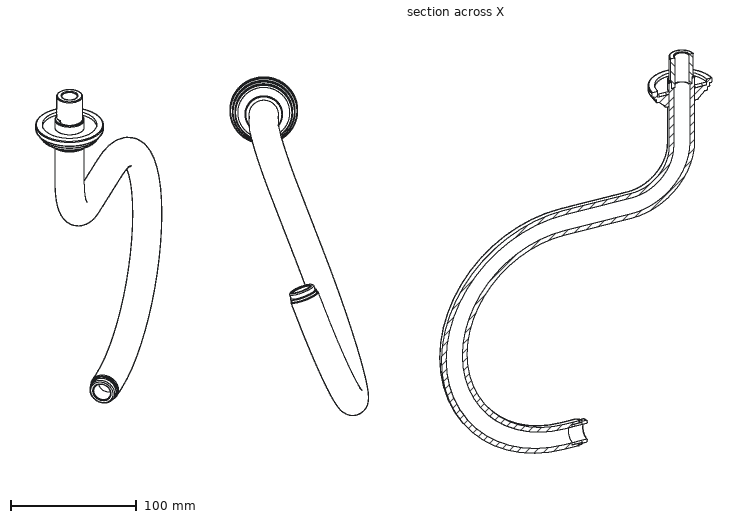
import cadquery as cq

tube_radius = 11.7
bore_radius = 7.0
small_bend_radius = 45.0
horizontal_run = 60
hook_radius = 98.0
outlet_run = 13.5
inlet_top = 104.5
tube_end_chamfer = 0.5

nipple_radius = 10.5
nipple_bore_radius = 6.0
nipple_chamfer = 0.7
nipple_length = 21.5
nipple_flat_distance = 8.7
nipple_flat_height = 2.0
nipple_flat_angle = 212
plug_radius = 9.0
plug_depth = 6.0

flange_top = 99.0
flange_radius = 27.0
flange_edge_height = 4.7
step_width = 2.0
step_height = 3.0
step_count = 2
cone_top_radius = 20.7
cone_bottom_radius = 15.0
cone_height = 5.5
cone_lip_height = 1.0
edge_break = 0.7

gasket_radius = 21.7
gasket_thickness = 2.7
gasket_drop = 2.7

ring_radius = 11.0
ring_width = 3.0
aerator_radius = 10.5
aerator_length = 4.5
aerator_chamfer = 1.0
bore_chamfer = 0.7

hook_start_y = small_bend_radius + horizontal_run
outlet_z = -2 * hook_radius
outlet_y = hook_start_y - outlet_run

inner_edge = cq.selectors.RadiusNthSelector(0)
outer_edge = cq.selectors.RadiusNthSelector(-1)


def make_disc(height, radius, bottom):
    return cq.Workplane("XY", origin=(0, 0, bottom)).circle(radius).extrude(height)


def make_outlet_disc(length, radius, start_distance):
    """Cylinder on the outlet axis, running toward -Y from start_distance beyond the tube end."""
    origin = (0, outlet_y - start_distance, outlet_z)
    return cq.Workplane("XZ", origin=origin).circle(radius).extrude(length)


def make_tube():
    path = (
        cq.Workplane("YZ")
        .moveTo(0, inlet_top)
        .lineTo(0, small_bend_radius)
        .radiusArc((small_bend_radius, 0), -small_bend_radius)
        .lineTo(hook_start_y, 0)
        .threePointArc((hook_start_y + hook_radius, -hook_radius), (hook_start_y, outlet_z))
        .lineTo(outlet_y, outlet_z)
    )
    section = cq.Workplane("XY", origin=(0, 0, inlet_top))
    tube = section.circle(tube_radius).circle(bore_radius).sweep(path)
    for end in (">Z", "<Y"):
        tube = tube.faces(end).edges(outer_edge).chamfer(tube_end_chamfer)
    inlet_seat = make_disc(plug_depth, plug_radius, inlet_top - plug_depth)
    outlet_seat = make_outlet_disc(plug_depth, plug_radius, -plug_depth)
    return tube.cut(inlet_seat).cut(outlet_seat)


def make_nipple():
    thread = make_disc(nipple_length, nipple_radius, inlet_top)
    thread = thread.faces(">Z").edges().chamfer(nipple_chamfer)
    flat_cutter = (
        cq.Workplane("XY", origin=(0, 0, inlet_top))
        .transformed(rotate=(0, 0, nipple_flat_angle))
        .center(nipple_flat_distance, 0)
        .rect(nipple_radius, 2 * nipple_radius, centered=(False, True))
        .extrude(nipple_flat_height)
    )
    plug = make_disc(plug_depth, plug_radius, inlet_top - plug_depth)
    bore = make_disc(plug_depth + nipple_length, nipple_bore_radius, inlet_top - plug_depth)
    nipple = thread.cut(flat_cutter).union(plug).cut(bore)
    return nipple.faces(">Z").edges(inner_edge).chamfer(bore_chamfer)


def make_flange():
    edge_bottom = flange_top - flange_edge_height
    flange = make_disc(flange_edge_height, flange_radius, edge_bottom).edges().chamfer(edge_break)
    bottom = edge_bottom
    for step in range(1, step_count + 1):
        bottom -= step_height
        step_disc = make_disc(step_height, flange_radius - step * step_width, bottom)
        flange = flange.union(step_disc.faces("<Z").edges().chamfer(edge_break))
    cone = (
        cq.Workplane("XY", origin=(0, 0, bottom))
        .circle(cone_top_radius)
        .workplane(offset=-cone_height)
        .circle(cone_bottom_radius)
        .loft()
    )
    bottom -= cone_height + cone_lip_height
    lip = make_disc(cone_lip_height, cone_bottom_radius, bottom).faces("<Z").edges().chamfer(edge_break)
    flange = flange.union(cone).union(lip)
    recess_depth = gasket_drop + gasket_thickness
    recess = make_disc(recess_depth, gasket_radius, flange_top - recess_depth)
    tube_hole = make_disc(flange_top - bottom, tube_radius, bottom)
    return flange.cut(recess).cut(tube_hole)


def make_gasket():
    bottom = flange_top - gasket_drop - gasket_thickness
    return make_disc(gasket_thickness, gasket_radius, bottom).cut(
        make_disc(gasket_thickness, tube_radius, bottom)
    )


def make_retaining_ring():
    ring = make_outlet_disc(ring_width, ring_radius, 0).edges().chamfer(edge_break)
    return ring.cut(make_outlet_disc(ring_width, plug_radius, 0))


def make_aerator():
    shank = make_outlet_disc(plug_depth + ring_width, plug_radius, -plug_depth)
    head = make_outlet_disc(aerator_length, aerator_radius, ring_width)
    head = head.faces("<Y").edges().chamfer(aerator_chamfer)
    bore = make_outlet_disc(plug_depth + ring_width + aerator_length, bore_radius, -plug_depth)
    aerator = shank.union(head).cut(bore)
    return aerator.faces("<Y").edges(inner_edge).chamfer(bore_chamfer)


tube = make_tube()
nipple = make_nipple()
flange = make_flange()
gasket = make_gasket()
retaining_ring = make_retaining_ring()
aerator = make_aerator()

result = cq.Compound.makeCompound(
    [tube.val(), nipple.val(), flange.val(), gasket.val(), retaining_ring.val(), aerator.val()]
)